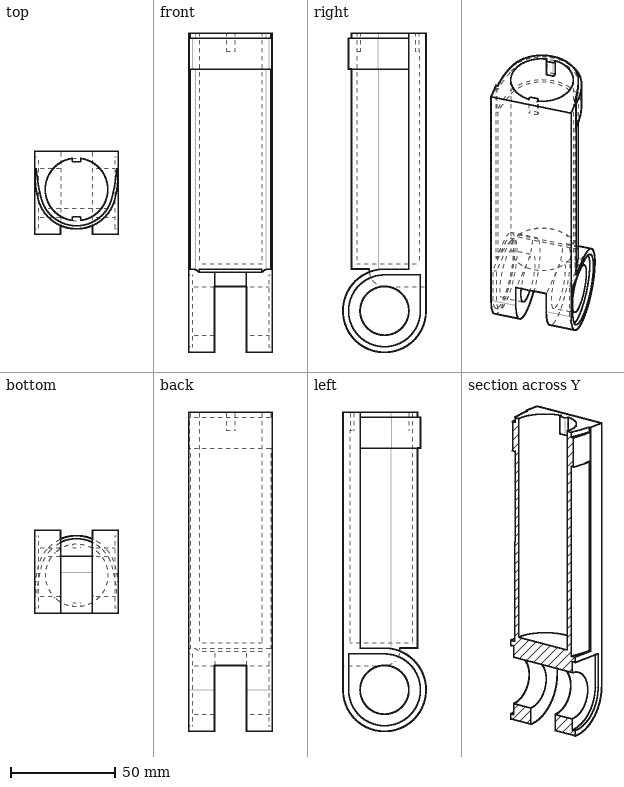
import cadquery as cq
import math

width = 40.2
height = 153.3
lug_diameter = 40.0
lug_radius = lug_diameter / 2
lug_top = lug_diameter
pin_hole_radius = 11.7

back_y = lug_radius
slab_thickness = 8.5
slab_front_y = back_y - slab_thickness

bore_radius = 15.0
bore_to_back = 18.4
bore_y = back_y - bore_to_back
bore_floor_thickness = 2.6
tube_radius = 17.5
tube_root_half_width = 19.3
side_arc_angle = math.radians(15)
collar_radius = 19.0
collar_root_half_width = 19.8
collar_step = 2.5
collar_top = height - collar_step
collar_height = 14.9

key_width = 4.3
key_projection = 1.8
key_wall_overlap = 0.8
key_round = 0.8
key_height = 8.7

gap_width = 15.2
web_front_y = -7.4
web_bottom = lug_radius + pin_hole_radius
web_round = 7.7
recess_margin = 2.8
recess_depth = 1.8


def box(x_range, y_range, z_range):
    """Box spanning the given coordinate ranges."""
    sizes = [high - low for low, high in (x_range, y_range, z_range)]
    corner = (x_range[0], y_range[0], z_range[0])
    return cq.Workplane("XY").box(*sizes, centered=False).translate(corner)


def shell_body(radius, root_half_width, bottom, top):
    """Round front flowing through tangent side arcs out to the back slab."""
    join_x = radius * math.cos(side_arc_angle)
    join_y = bore_y - radius * math.sin(side_arc_angle)
    diagonal = radius * math.sqrt(0.5)
    half = (
        cq.Workplane("XY", origin=(0, 0, bottom))
        .moveTo(0, bore_y - radius)
        .threePointArc((diagonal, bore_y - diagonal), (join_x, join_y))
        .tangentArcPoint((root_half_width, slab_front_y), relative=False)
        .lineTo(0, slab_front_y)
        .close()
        .extrude(top - bottom)
    )
    return half.union(half.mirror("YZ"))


def lug_block(radius, x_start, length):
    """Round lug with a square upper back corner, extruded along X."""
    return (
        cq.Workplane("YZ", origin=(x_start, 0, lug_radius))
        .moveTo(0, radius)
        .lineTo(radius, radius)
        .lineTo(radius, 0)
        .threePointArc((-radius * math.sqrt(0.5), -radius * math.sqrt(0.5)), (0, radius))
        .close()
        .extrude(length)
    )


def fork():
    """Two lugs joined at the top by a web with a rounded lower front edge."""
    gap = box((-gap_width / 2, gap_width / 2), (-lug_radius, back_y), (0, lug_top))
    lugs = lug_block(lug_radius, -width / 2, width).cut(gap)
    pin_hole = (
        cq.Workplane("YZ", origin=(-width / 2, 0, lug_radius))
        .circle(pin_hole_radius)
        .extrude(width)
    )
    lugs = lugs.cut(pin_hole)
    for x_start in (-width / 2, width / 2 - recess_depth):
        lugs = lugs.cut(lug_block(lug_radius - recess_margin, x_start, recess_depth))

    web = box((-gap_width / 2, gap_width / 2), (web_front_y, back_y), (web_bottom, lug_top))
    web = web.edges("<Y and <Z").fillet(web_round)

    neck = shell_body(tube_radius, tube_root_half_width, lug_radius, lug_top)
    neck_limit = box((-width / 2, width / 2), (web_front_y, 0), (lug_radius, lug_top))
    lug_cylinder = (
        cq.Workplane("YZ", origin=(-width / 2, 0, lug_radius))
        .circle(lug_radius)
        .extrude(width)
    )
    neck = neck.intersect(neck_limit).cut(lug_cylinder)
    return lugs.union(web).union(neck)


def bore_keys():
    """Front and rear keys standing inward from the bore wall."""
    keys = cq.Workplane("XY")
    for side in (-1, 1):
        inner_y = bore_y + side * (bore_radius - key_projection)
        outer_y = bore_y + side * (bore_radius + key_wall_overlap)
        y_range = sorted((inner_y, outer_y))
        key = box((-key_width / 2, key_width / 2), y_range, (height - key_height, height))
        inner_edges = "|Z and <Y" if side > 0 else "|Z and >Y"
        keys = keys.add(key.edges(inner_edges).fillet(key_round))
    return keys


slab = box((-width / 2, width / 2), (slab_front_y, back_y), (lug_top, height))
tube = shell_body(tube_radius, tube_root_half_width, lug_top, height)
collar = shell_body(collar_radius, collar_root_half_width, collar_top - collar_height, collar_top)

bore_floor = lug_top + bore_floor_thickness
bore = (
    cq.Workplane("XY", origin=(0, bore_y, bore_floor))
    .circle(bore_radius)
    .extrude(height - bore_floor)
)

barrel = slab.union(tube).union(collar).cut(bore)
for key in bore_keys().vals():
    barrel = barrel.union(key)

result = barrel.union(fork())